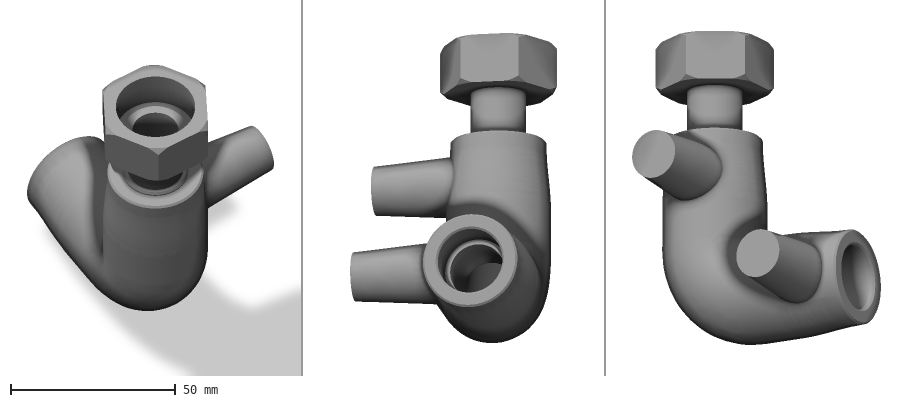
import cadquery as cq
import math

body_radius = 32.0 / 2
bend_radius = 15.0
arm_length = 49.96
taper_start = 28.0
arm_end_radius = 14.6
rim_chamfer = 0.6

bore_radius = 16.9 / 2
socket_radius = 20.0 / 2
socket_depth = 13.4

pipe_radius = 16.9 / 2
pipe_bore_radius = 14.0 / 2
collar_height = 1.0
collar_chamfer = 0.6

nut_flats = 31.2
nut_height = 15.0
nut_top = 96 - body_radius
nut_bore_radius = 24.1 / 2
nut_bore_depth = 12.0
flange_radius = 19.3 / 2
flange_height = 1.0
nut_crown_radius = 16.5
nut_crown_slope = 45

stub_end = 38.0
stub_end_radius = 7.5
stub_taper = 4.5
stub_distance = 36.3

nut_bottom = nut_top - nut_height
nut_floor = nut_top - nut_bore_depth
flange_top = nut_floor + flange_height
socket_floor = arm_length - socket_depth


def cylinder(radius, start, end):
    """Cylinder on the Z axis between two heights."""
    return cq.Workplane("XY").workplane(offset=start).circle(radius).extrude(end - start)


def lay_down(arm):
    """Turn a vertical arm so that it points along -X."""
    return arm.rotate((0, 0, 0), (0, 1, 0), -90)


def bend(radius):
    """Quarter torus joining the arms; a section past the bend axis is clipped there."""
    outer = bend_radius + radius
    ring_section = cq.Workplane("XY").moveTo(bend_radius, 0).circle(radius)
    if radius > bend_radius:
        reach = math.sqrt(radius ** 2 - bend_radius ** 2)
        ring_section = (
            cq.Workplane("XY")
            .moveTo(0, -reach)
            .threePointArc((outer, 0), (0, reach))
            .close()
        )
    turned = ring_section.revolve(90, (0, 0, 0), (0, 1, 0))
    return turned.translate((-bend_radius, 0, bend_radius))


def arm():
    """Round arm on the Z axis, narrowing in an S curve to a chamfered end."""
    rim = arm_length - rim_chamfer
    return (
        cq.Workplane("XZ")
        .moveTo(0, bend_radius)
        .lineTo(body_radius, bend_radius)
        .lineTo(body_radius, taper_start)
        .spline([(arm_end_radius, rim)], tangents=[(0, 1), (0, 1)], includeCurrent=True)
        .lineTo(arm_end_radius - rim_chamfer, arm_length)
        .lineTo(0, arm_length)
        .close()
        .revolve(360, (0, 0, 0), (0, 1, 0))
    )


def arm_passage():
    """Bore of one arm with its wider socket."""
    socket = cylinder(socket_radius, socket_floor, arm_length)
    return cylinder(bore_radius, bend_radius, arm_length).union(socket)


def socket_mouth():
    """Chamfer at the entry of an open socket."""
    return (
        cq.Workplane("XY").workplane(offset=arm_length)
        .circle(socket_radius + rim_chamfer)
        .extrude(-rim_chamfer, taper=45)
    )


def stub():
    """Tapered stub on the Y axis, widening towards its root on the arm axis."""
    return (
        cq.Workplane("XZ", origin=(0, stub_end, 0))
        .circle(stub_end_radius)
        .extrude(stub_end, taper=-stub_taper)
    )


def nut():
    """Hexagon with corners on +Y and -Y and both end faces chamfered."""
    corner_diameter = nut_flats / math.cos(math.radians(30))
    rise = (corner_diameter / 2 - nut_crown_radius) * math.tan(math.radians(nut_crown_slope))
    hexagon = (
        cq.Workplane("XY").workplane(offset=nut_bottom)
        .polygon(6, corner_diameter)
        .extrude(nut_height)
        .rotate((0, 0, 0), (0, 0, 1), 30)
    )
    crown = cylinder(corner_diameter / 2, nut_bottom, nut_top)
    crown = crown.faces("<Z or >Z").chamfer(rise, corner_diameter / 2 - nut_crown_radius)
    return hexagon.intersect(crown).cut(cylinder(nut_bore_radius, nut_floor, nut_top))


def pipe():
    """Pipe with a plug seated in the upper socket and a flange inside the nut."""
    collar_top = arm_length + collar_height
    plug = cylinder(socket_radius, socket_floor, collar_top)
    plug = plug.faces(">Z").chamfer(collar_chamfer)
    shaft = cylinder(pipe_radius, socket_floor, nut_floor)
    flange = cylinder(flange_radius, nut_floor, flange_top)
    return plug.union(shaft).union(flange)


body = bend(body_radius).union(arm()).union(lay_down(arm()))
for stub_place in [(-stub_distance, 0, 0), (0, 0, stub_distance)]:
    body = body.union(stub().translate(stub_place))

passages = bend(bore_radius).union(arm_passage()).union(lay_down(arm_passage().union(socket_mouth())))
pipe_bore = cylinder(pipe_bore_radius, socket_floor, nut_top)

result = body.cut(passages).union(nut()).union(pipe()).cut(pipe_bore)